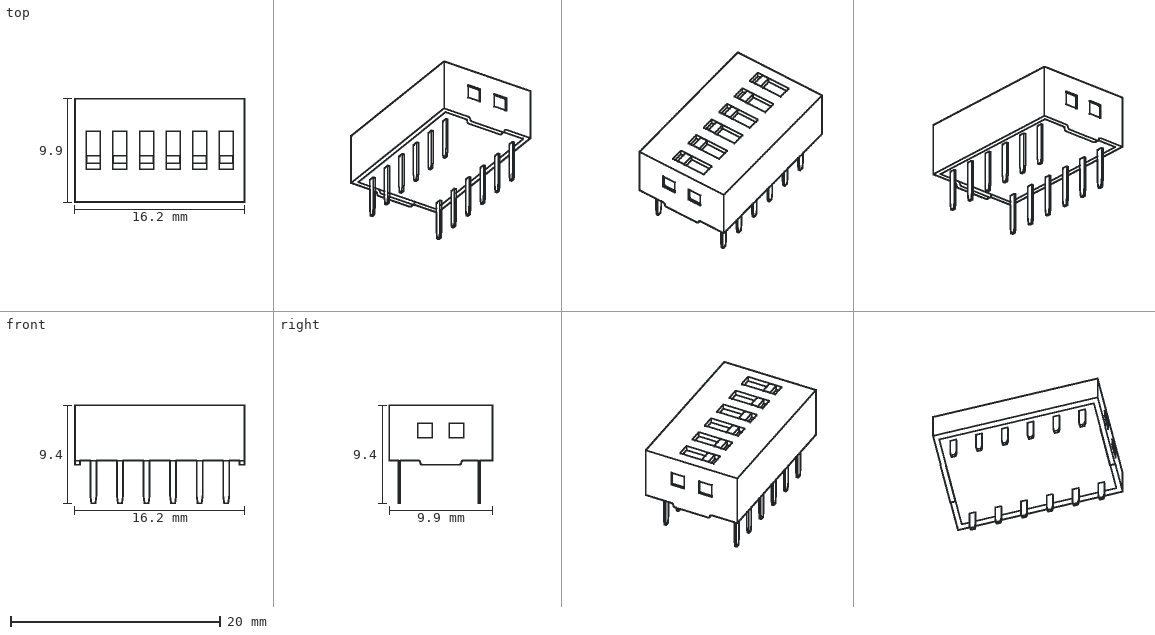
import cadquery as cq


position_count = 6
pitch = 2.54
position_xs = [(i - (position_count - 1) / 2) * pitch for i in range(position_count)]

cover_length = 16.24
cover_width = 9.9
cover_height = 5.3
wall = 0.5

base_length = cover_length - 2 * wall
base_width = cover_width - 2 * wall
base_height = cover_height - wall

slot_width = 1.34
slot_length = 3.62

slider_width = 1.28
slider_length = 0.73
slider_y = -0.89
slider_height = wall

window_size = 1.4
window_spacing = 3.0
window_z = 2.87
window_recess = 0.2

foot_half_width = 1.97
foot_round = 0.2
foot_height = 2 * foot_round

lead_width = 0.6
lead_thickness = 0.2
lead_length = 4.1
lead_tip_width = 0.4
lead_tip_length = 0.74
row_spacing = 7.62
row_offset = -0.15


def block(length, width, height, x=0, y=0, z=0):
    """Box centred on x and y with its underside at z."""
    return cq.Workplane("XY").box(length, width, height, centered=(True, True, False)).translate((x, y, z))


def end_blocks(depth, outer_x):
    """Four square blocks at the latch windows, running inward from X = +-outer_x."""
    blocks = cq.Workplane("XY")
    for side in (-1, 1):
        for y in (-window_spacing / 2, window_spacing / 2):
            x = side * (outer_x - depth / 2)
            blocks = blocks.add(block(depth, window_size, window_size, x, y, window_z - window_size / 2))
    return blocks.combine()


def make_foot(start_x):
    """Foot one wall thick, its ends a concave round flowing into a convex one."""
    diagonal = foot_round * 0.5 ** 0.5
    root_y = foot_half_width + foot_round
    bottom_y = foot_half_width - foot_round
    concave_mid = (root_y - diagonal, -foot_round + diagonal)
    convex_mid = (bottom_y + diagonal, -foot_round - diagonal)
    return (
        cq.Workplane("YZ", origin=(start_x, 0, 0))
        .moveTo(-root_y, 0)
        .lineTo(root_y, 0)
        .threePointArc(concave_mid, (foot_half_width, -foot_round))
        .threePointArc(convex_mid, (bottom_y, -foot_height))
        .lineTo(-bottom_y, -foot_height)
        .threePointArc((-convex_mid[0], convex_mid[1]), (-foot_half_width, -foot_round))
        .threePointArc((-concave_mid[0], concave_mid[1]), (-root_y, 0))
        .close()
        .extrude(wall)
    )


def make_cover():
    """Open-bottomed cover with slots, latch windows and feet."""
    cover = block(cover_length, cover_width, cover_height)
    cover = cover.cut(block(base_length, base_width, base_height))
    for x in position_xs:
        cover = cover.cut(block(slot_width, slot_length, wall, x, 0, base_height))
    cover = cover.cut(end_blocks(wall, cover_length / 2))
    for start_x in (-cover_length / 2, cover_length / 2 - wall):
        cover = cover.union(make_foot(start_x))
    return cover


def make_lead(x, y):
    """Flat lead hanging below the base, tapered in width at its tip."""
    taper_z = lead_tip_length - lead_length
    return (
        cq.Workplane("XZ", origin=(x, y + lead_thickness / 2, 0))
        .polyline([
            (-lead_width / 2, 0),
            (lead_width / 2, 0),
            (lead_width / 2, taper_z),
            (lead_tip_width / 2, -lead_length),
            (-lead_tip_width / 2, -lead_length),
            (-lead_width / 2, taper_z),
        ])
        .close()
        .extrude(lead_thickness)
    )


def make_base():
    """Base with its latch lugs and both rows of leads."""
    base = block(base_length, base_width, base_height)
    base = base.union(end_blocks(wall - window_recess, cover_length / 2 - window_recess))
    for x in position_xs:
        for side in (-1, 1):
            base = base.union(make_lead(x, row_offset + side * row_spacing / 2))
    return base


def make_slider(x):
    """Slider block resting on the base, its top flush with the cover."""
    return block(slider_width, slider_length, slider_height, x, slider_y, base_height)


cover = make_cover()
base = make_base()
sliders = [make_slider(x) for x in position_xs]

bodies = [body.solids().val() for body in (cover, base, *sliders)]
result = cq.Compound.makeCompound(bodies)